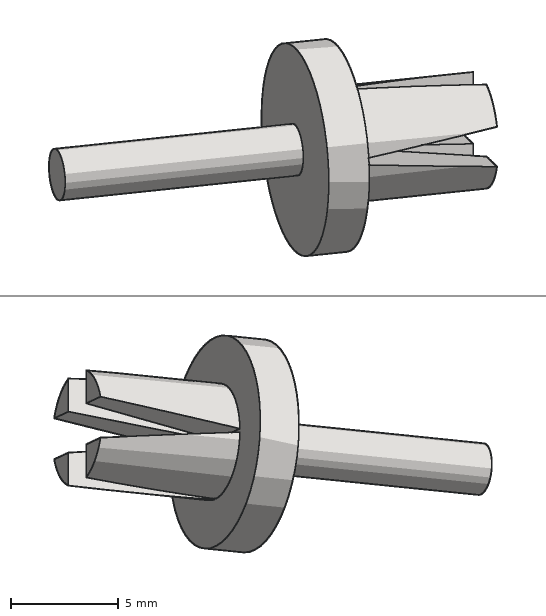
import cadquery as cq

total_length = 20.8
flange_diameter = 10.0
flange_thickness = 2.0
prong_length = 7.1
pin_length = total_length - flange_thickness - prong_length
pin_diameter = 2.43

prong_diameter = 5.5
slot_root_width = 0.17
slot_tip_width = 1.95

flange_back = flange_thickness
prong_tip = flange_back + prong_length


def make_slot():
    """V-shaped slot open at the prong tips, running right through along Z."""
    return (
        cq.Workplane("XY")
        .moveTo(-slot_root_width / 2, flange_back)
        .lineTo(slot_root_width / 2, flange_back)
        .lineTo(slot_tip_width / 2, prong_tip)
        .lineTo(-slot_tip_width / 2, prong_tip)
        .close()
        .extrude(prong_diameter, both=True)
    )


def make_prongs():
    """Solid cylinder split into four prongs by the crossing slots."""
    prongs = (
        cq.Workplane("XZ", origin=(0, flange_back, 0))
        .circle(prong_diameter / 2)
        .extrude(-prong_length)
    )
    for angle in (0, 90):
        prongs = prongs.cut(make_slot().rotate((0, 0, 0), (0, 1, 0), angle))
    return prongs


def make_plug():
    """Round flange with the four prongs on its back face."""
    flange = cq.Workplane("XZ").circle(flange_diameter / 2).extrude(-flange_thickness)
    return flange.union(make_prongs())


def make_pin():
    """Plain round pin butting against the front face of the flange."""
    return cq.Workplane("XZ").circle(pin_diameter / 2).extrude(pin_length)


plug = make_plug()
pin = make_pin()

result = cq.Compound.makeCompound([plug.val(), pin.val()])